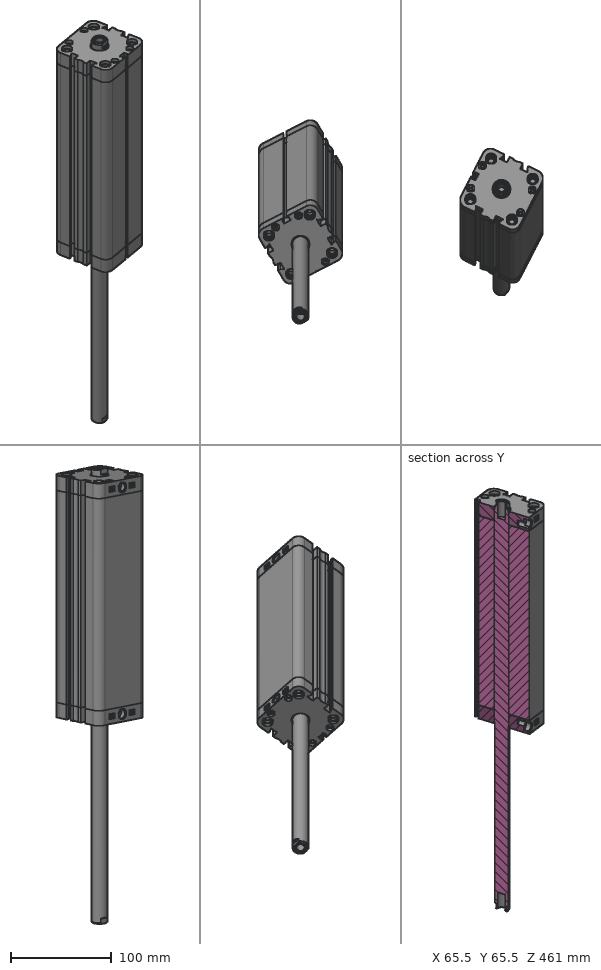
import cadquery as cq

side = 65.5
housing_length = 245.3
cap_length = 15.0
corner_radius = 8.5
top_stub = 7.5
total_length = 461.0
bottom_stub = total_length - housing_length - top_stub
half_side = side / 2
barrel_length = housing_length - 2 * cap_length

groove_inner_x = 7.5
groove_mouth_width = 6.0
groove_undercut = 2.0
groove_lip = 2.5
groove_depth = 6.0
notch_half_width = 3.5
notch_depth = 1.0
slot_mouth_width = 3.5
slot_width = 7.5
slot_lip = 2.0
slot_depth = 5.5

rod_diameter = 16.0
flat_width = 13.0
flat_length = 6.5
flat_shoulder_length = 1.0
rod_chamfer = 1.5
thread_diameter = 8.5
thread_mouth_diameter = 10.5
thread_depth = 18.5

seal_diameter = 18.0
seal_depth = 1.5
screw_spacing = 46.0
screw_hole_steps = ((10.5, 3.5), (8.5, 7.5), (6.5, cap_length))
fixing_hole_steps = ((7.5, 3.5), (3.5, cap_length / 2))
fixing_x = 27.5
fixing_y = 13.0
window_y = 14.0
window_steps = ((7.0, 5.0, 1.0), (4.0, 2.5, 2.8))
port_diameter = 8.8
port_mouth_diameter = 10.5
port_depth = 6.5
port_z = 7.5
air_passage_diameter = 5.0
air_passage_offset = 2.5
air_passage_depth = 14.0


def edge_groove(x_sign, y_sign):
    """Plan outline of one undercut groove in a +Y or -Y side."""
    inner = groove_inner_x
    outer = inner + groove_mouth_width
    points = [
        (inner, half_side),
        (outer, half_side),
        (outer, half_side - groove_lip),
        (outer + groove_undercut, half_side - groove_depth),
        (inner, half_side - groove_depth),
    ]
    return cq.Workplane("XY").polyline([(x_sign * x, y_sign * y) for x, y in points]).close()


def centre_notch(y_sign):
    """Plan outline of the shallow round notch in the middle of a +Y or -Y side."""
    edge_y = y_sign * half_side
    return (
        cq.Workplane("XY")
        .moveTo(-notch_half_width, edge_y)
        .threePointArc((0, edge_y - y_sign * notch_depth), (notch_half_width, edge_y))
        .close()
    )


def profile(length):
    """Rounded square bar with its grooves and the rod bore, from z = 0 up."""
    bar = cq.Workplane("XY").rect(side, side).extrude(length).edges("|Z").fillet(corner_radius)
    for y_sign in (-1, 1):
        bar = bar.cut(centre_notch(y_sign).extrude(length))
        for x_sign in (-1, 1):
            bar = bar.cut(edge_groove(x_sign, y_sign).extrude(length))
    mouth = cq.Workplane("XY").center(half_side - slot_lip / 2, 0).rect(slot_lip, slot_mouth_width)
    wide_x = half_side - (slot_lip + slot_depth) / 2
    wide_part = cq.Workplane("XY").center(wide_x, 0).rect(slot_depth - slot_lip, slot_width)
    bar = bar.cut(mouth.extrude(length)).cut(wide_part.extrude(length))
    return bar.cut(cq.Workplane("XY").circle(rod_diameter / 2).extrude(length))


def drill_steps(cap, x, y, steps):
    """Four stepped holes at (+-x, +-y), drilled from the outer face of a cap."""
    for diameter, depth in steps:
        holes = (
            cq.Workplane("XY", origin=(0, 0, cap_length - depth))
            .rect(2 * x, 2 * y, forConstruction=True).vertices()
            .circle(diameter / 2).extrude(depth)
        )
        cap = cap.cut(holes)
    return cap


def end_cap():
    """End cap with its outer face at z = cap_length."""
    cap = profile(cap_length)
    face = cap.faces(">Z").workplane(origin=(0, 0, cap_length))
    cap = face.circle(seal_diameter / 2).cutBlind(-seal_depth)

    cap = drill_steps(cap, screw_spacing / 2, screw_spacing / 2, screw_hole_steps)
    cap = drill_steps(cap, fixing_x, fixing_y, fixing_hole_steps)

    for y_sign in (-1, 1):
        for width, height, depth in window_steps:
            window = cq.Workplane("XY").box(depth, width, height)
            cap = cap.cut(window.translate((depth / 2 - half_side, y_sign * window_y, cap_length / 2)))

    mouth_chamfer = (port_mouth_diameter - port_diameter) / 2
    port = (
        cq.Workplane("YZ", origin=(-half_side, 0, port_z))
        .circle(port_diameter / 2).extrude(port_depth)
    )
    mouth = cq.Solid.makeCone(
        port_mouth_diameter / 2, port_diameter / 2, mouth_chamfer,
        cq.Vector(-half_side, 0, port_z), cq.Vector(1, 0, 0),
    )
    passage = (
        cq.Workplane("YZ", origin=(-half_side, 0, port_z - air_passage_offset))
        .circle(air_passage_diameter / 2).extrude(air_passage_depth)
    )
    return cap.cut(port).cut(cq.Workplane(mouth)).cut(passage)


def flat_cutter(x_sign, end_z, inward):
    """Material removed for one wrench flat, ending in a sloping shoulder."""
    flat_x = flat_width / 2
    outer_x = rod_diameter / 2
    points = [
        (flat_x, 0),
        (flat_x, flat_length - flat_shoulder_length),
        (outer_x, flat_length),
        (outer_x, 0),
    ]
    outline = [(x_sign * x, end_z + inward * z) for x, z in points]
    return cq.Workplane("XZ").polyline(outline).close().extrude(rod_diameter / 2, both=True)


def make_rod():
    """Through rod with wrench flats and a threaded hole at both ends."""
    rod = (
        cq.Workplane("XY", origin=(0, 0, -bottom_stub))
        .circle(rod_diameter / 2).extrude(total_length)
        .faces("<Z or >Z").chamfer(rod_chamfer)
    )
    top_z = housing_length + top_stub
    for end_z, inward in ((-bottom_stub, 1), (top_z, -1)):
        for x_sign in (-1, 1):
            rod = rod.cut(flat_cutter(x_sign, end_z, inward))
        bore = cq.Solid.makeCylinder(
            thread_diameter / 2, thread_depth, cq.Vector(0, 0, end_z), cq.Vector(0, 0, inward))
        mouth = cq.Solid.makeCone(
            thread_mouth_diameter / 2, thread_diameter / 2, (thread_mouth_diameter - thread_diameter) / 2,
            cq.Vector(0, 0, end_z), cq.Vector(0, 0, inward))
        rod = rod.cut(cq.Workplane(bore)).cut(cq.Workplane(mouth))
    return rod


barrel = profile(barrel_length).translate((0, 0, cap_length))
top_cap = end_cap().translate((0, 0, housing_length - cap_length))
bottom_cap = end_cap().mirror("XY").translate((0, 0, cap_length))
rod = make_rod()

result = cq.Compound.makeCompound([barrel.val(), top_cap.val(), bottom_cap.val(), rod.val()])